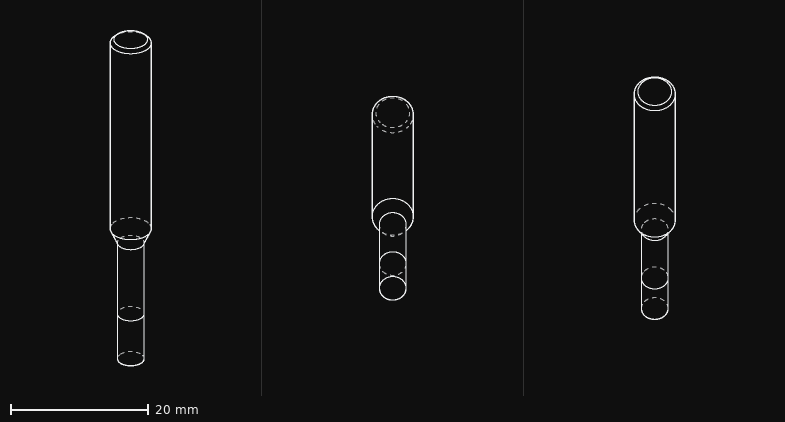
import cadquery as cq
import math

total_length = 55.7
shank_diameter = 6.0
neck_diameter = 3.9

split_height = 8.45
cone_bottom_height = 20.7
cone_top_height = 23.1

end_chamfer = 0.55
point_angle = 140.0

shank_radius = shank_diameter / 2
neck_radius = neck_diameter / 2
point_height = neck_radius / math.tan(math.radians(point_angle / 2))


def revolve_profile(points):
    """Turn a closed (radius, height) outline about the Z axis."""
    return cq.Workplane("XZ").polyline(points).close().revolve(360, (0, 0, 0), (0, 1, 0))


def make_shank():
    """Chamfered shank with a conical step down to the neck."""
    return revolve_profile([
        (0, split_height),
        (neck_radius, split_height),
        (neck_radius, cone_bottom_height),
        (shank_radius, cone_top_height),
        (shank_radius, total_length - end_chamfer),
        (shank_radius - end_chamfer, total_length),
        (0, total_length),
    ])


def make_cutting_head():
    """Plain cylinder ending in the conical drill point."""
    return revolve_profile([
        (0, 0),
        (neck_radius, point_height),
        (neck_radius, split_height),
        (0, split_height),
    ])


shank = make_shank()
cutting_head = make_cutting_head()

result = cq.Compound.makeCompound([shank.val(), cutting_head.val()])